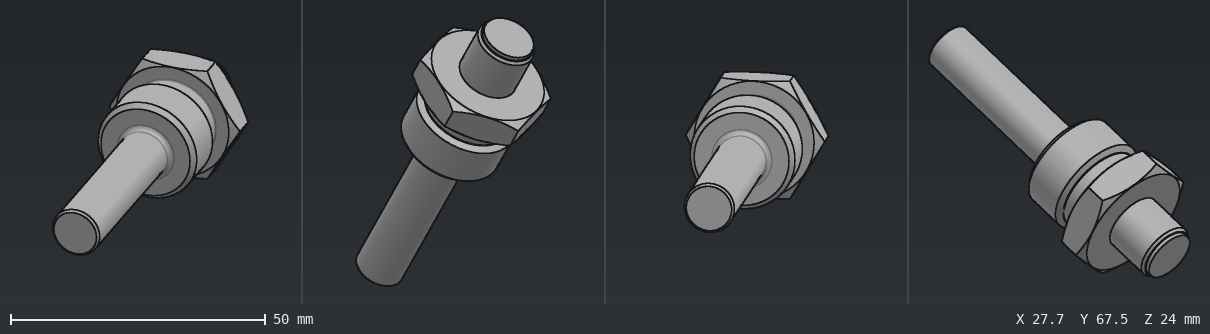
import cadquery as cq
import math

overall_length = 67.5

tip_radius = 5.25
tip_length = 0.9
connector_radius = 6.0
connector_shoulder_radius = 5.55
connector_chamfer_length = 0.6

across_flats = 24.0
nut_sides = 6
nut_start = 11.0
nut_thickness = 6.5
nut_face_radius = 11.95
nut_chamfer_angle = 30.0

neck_radius = 9.05
neck_length = 4.0
neck_fillet = 0.15
body_radius = 10.45
body_length = 9.9
body_shoulder_length = 0.8
body_chamfer = 1.0

stem_radius = 5.0
stem_root_fillet = 1.0
stem_end_chamfer = 0.5

connector_end = overall_length / 2
stem_end = -overall_length / 2
tip_step = connector_end - tip_length
nut_back = connector_end - nut_start
nut_front = nut_back - nut_thickness
body_back = nut_front - neck_length
body_front = body_back - body_length


def turned_body():
    """Connector, neck, body and stem as one revolved half profile."""
    fillet_center_x = stem_radius + stem_root_fillet
    fillet_center_y = body_front - stem_root_fillet
    fillet_reach = stem_root_fillet * math.sqrt(0.5)
    fillet_middle = (fillet_center_x - fillet_reach, fillet_center_y + fillet_reach)
    return (
        cq.Workplane("XY")
        .moveTo(0, connector_end)
        .lineTo(tip_radius, connector_end)
        .lineTo(tip_radius, tip_step)
        .lineTo(connector_shoulder_radius, tip_step)
        .lineTo(connector_radius, tip_step - connector_chamfer_length)
        .lineTo(connector_radius, nut_back)
        .lineTo(neck_radius, nut_back)
        .lineTo(neck_radius, body_back)
        .lineTo(body_radius, body_back - body_shoulder_length)
        .lineTo(body_radius, body_front + body_chamfer)
        .lineTo(body_radius - body_chamfer, body_front)
        .lineTo(fillet_center_x, body_front)
        .threePointArc(fillet_middle, (stem_radius, fillet_center_y))
        .lineTo(stem_radius, stem_end + stem_end_chamfer)
        .lineTo(stem_radius - stem_end_chamfer, stem_end)
        .lineTo(0, stem_end)
        .close()
        .revolve(360, (0, 0, 0), (0, 1, 0))
    )


def hex_nut():
    """Hexagon with corners on the X axis, both ends cut back by a cone."""
    across_corners = across_flats / math.cos(math.pi / nut_sides)
    corner_radius = across_corners / 2
    chamfer_length = (corner_radius - nut_face_radius) * math.tan(math.radians(nut_chamfer_angle))
    hexagon = (
        cq.Workplane("XZ", origin=(0, nut_back, 0))
        .polygon(nut_sides, across_corners)
        .extrude(nut_thickness)
    )
    cone_envelope = (
        cq.Workplane("XY")
        .moveTo(0, nut_back)
        .lineTo(nut_face_radius, nut_back)
        .lineTo(corner_radius, nut_back - chamfer_length)
        .lineTo(corner_radius, nut_front + chamfer_length)
        .lineTo(nut_face_radius, nut_front)
        .lineTo(0, nut_front)
        .close()
        .revolve(360, (0, 0, 0), (0, 1, 0))
    )
    return hexagon.intersect(cone_envelope)


def is_neck_end(edge):
    """The neck meets the nut and the body along the only circles of its radius."""
    tolerance = 0.01
    return edge.geomType() == "CIRCLE" and abs(edge.radius() - neck_radius) < tolerance


result = turned_body().union(hex_nut())
result = result.edges().filter(is_neck_end).fillet(neck_fillet)